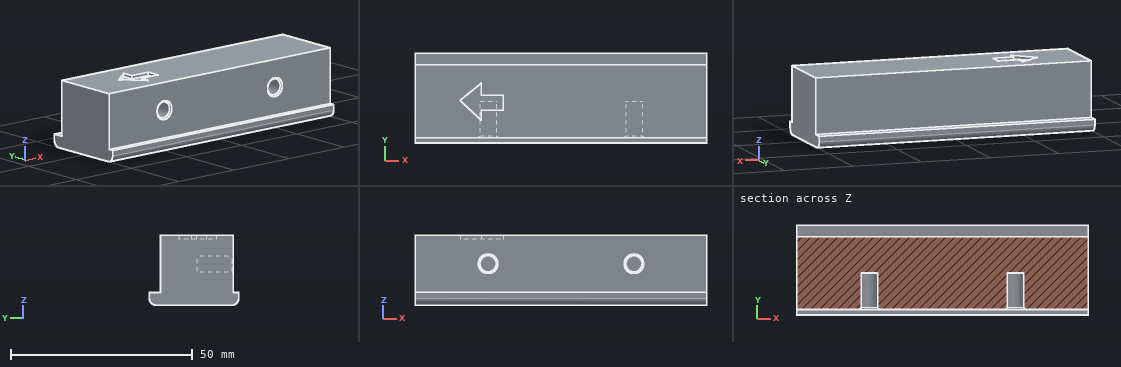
import cadquery as cq

length = 80.3
body_width = 20.1
body_height = 15.8

foot_height = 3.5
front_lip = 1.5
back_lip = 3.1
foot_round = 2.0

hole_diameter = 4.5
countersink_diameter = 5.4
hole_depth = body_width / 2
hole_positions = (length / 4, 3 * length / 4)

arrow_tail_x = 24.25
arrow_shaft_length = 6.0
arrow_shaft_width = 4.1
arrow_shaft_offset = -0.5
arrow_head_length = 5.9
arrow_head_width = 10.3
arrow_head_offset = -0.2
arrow_tip_offset = 0.2
arrow_depth = 1.0

front_y = -body_width / 2
top_z = foot_height + body_height
hole_z = foot_height + body_height / 2


def make_body():
    return cq.Workplane("XY").box(length, body_width, top_z, centered=(False, True, False))


def make_foot():
    foot_width = front_lip + body_width + back_lip
    foot = (
        cq.Workplane("XY")
        .box(length, foot_width, foot_height, centered=False)
        .translate((0, front_y - front_lip, 0))
    )
    lower_long_edges = foot.faces("<Z").edges("|X")
    return lower_long_edges.fillet(foot_round)


def make_hole(x):
    """Blind hole from the front face, with a 45 degree countersink at its mouth."""
    hole_radius = hole_diameter / 2
    countersink_radius = countersink_diameter / 2
    countersink_depth = countersink_radius - hole_radius
    mouth = cq.Vector(x, front_y, hole_z)
    inward = cq.Vector(0, 1, 0)
    bore = cq.Solid.makeCylinder(hole_radius, hole_depth, mouth, inward)
    countersink = cq.Solid.makeCone(countersink_radius, hole_radius, countersink_depth, mouth, inward)
    return cq.Workplane(bore).union(cq.Workplane(countersink))


def make_arrow():
    head_base_x = arrow_tail_x - arrow_shaft_length
    tip_x = head_base_x - arrow_head_length
    half_shaft = arrow_shaft_width / 2
    half_head = arrow_head_width / 2
    outline = [
        (tip_x, arrow_tip_offset),
        (head_base_x, arrow_head_offset + half_head),
        (head_base_x, arrow_shaft_offset + half_shaft),
        (arrow_tail_x, arrow_shaft_offset + half_shaft),
        (arrow_tail_x, arrow_shaft_offset - half_shaft),
        (head_base_x, arrow_shaft_offset - half_shaft),
        (head_base_x, arrow_head_offset - half_head),
    ]
    return cq.Workplane("XY").workplane(offset=top_z).polyline(outline).close().extrude(-arrow_depth)


result = make_body().union(make_foot()).cut(make_arrow())
for hole_x in hole_positions:
    result = result.cut(make_hole(hole_x))